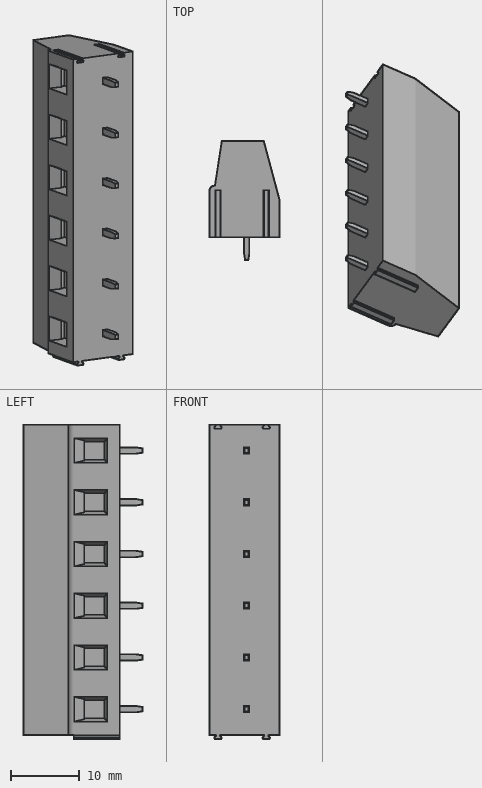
import cadquery as cq

POLES = 6
PITCH = 7.5
OVERLAP = 0.2

HOUSING_WIDTH = 10.2
HOUSING_DEPTH = 14.0
HOUSING_LENGTH = POLES * PITCH
TOP_POLE_Z = HOUSING_LENGTH - PITCH / 2

STEP_DEPTH = 7.5
STEP_RADIUS = 0.8
BACK_LEFT_X = 1.8
BACK_RIGHT_X = 7.9
RIGHT_SLOPE_START = 5.4

ENTRY_FRONT = 1.8
ENTRY_BACK = 6.65
ENTRY_HEIGHT = 3.6
ENTRY_DEPTH = 1.65
ENTRY_SLOPE_DEPTH = 1.15
FLOOR_FRONT = 2.25
FLOOR_BACK = 5.15
FLOOR_HEIGHT = 2.6

PIN_X = 5.42
PIN_WIDTH = 0.8
PIN_HEIGHT = 0.95
PIN_LENGTH = 3.3
PIN_TIP_LENGTH = 0.95
PIN_TIP_WIDTH = 0.5
PIN_TIP_HEIGHT = 0.65

RAIL_XS = (1.25, 8.25)
RAIL_HEIGHT = 0.6
RAIL_ROOT_WIDTH = 0.85
RAIL_NECK_WIDTH = 0.6
RAIL_NECK_AT = 0.1
RAIL_WIDTH = 1.1
RAIL_WIDEST_AT = 0.4
RAIL_END_WIDTH = 0.9
RAIL_LENGTH = 6.7
GROOVE_LENGTH = 6.8


def make_housing():
    """Tapered block with a rounded step along its wire side."""
    return (
        cq.Workplane("XY")
        .moveTo(0, 0)
        .lineTo(0, STEP_DEPTH - STEP_RADIUS)
        .radiusArc((STEP_RADIUS, STEP_DEPTH), STEP_RADIUS)
        .lineTo(BACK_LEFT_X, HOUSING_DEPTH)
        .lineTo(BACK_RIGHT_X, HOUSING_DEPTH)
        .lineTo(HOUSING_WIDTH, RIGHT_SLOPE_START)
        .lineTo(HOUSING_WIDTH, 0)
        .close()
        .extrude(HOUSING_LENGTH)
    )


def make_wire_entry(z):
    """Cutter for one wire entry, sunk from the X = 0 face and centred at height z."""
    plan = (
        cq.Workplane("XY", origin=(0, 0, z))
        .moveTo(0, ENTRY_FRONT)
        .lineTo(0, ENTRY_BACK)
        .lineTo(ENTRY_SLOPE_DEPTH, FLOOR_BACK)
        .lineTo(ENTRY_DEPTH, FLOOR_BACK)
        .lineTo(ENTRY_DEPTH, FLOOR_FRONT)
        .close()
        .extrude(ENTRY_HEIGHT / 2, both=True)
    )
    drafted_heights = (
        cq.Workplane("XZ", origin=(0, 0, z))
        .moveTo(0, -ENTRY_HEIGHT / 2)
        .lineTo(0, ENTRY_HEIGHT / 2)
        .lineTo(ENTRY_DEPTH, FLOOR_HEIGHT / 2)
        .lineTo(ENTRY_DEPTH, -FLOOR_HEIGHT / 2)
        .close()
        .extrude(-ENTRY_BACK)
    )
    return plan.intersect(drafted_heights)


def make_pin(z):
    """Rectangular pin with a tapered tip, standing out of the Y = 0 face."""
    shank_length = PIN_LENGTH - PIN_TIP_LENGTH
    shank = (
        cq.Workplane("XZ", origin=(PIN_X, OVERLAP, z))
        .rect(PIN_WIDTH, PIN_HEIGHT)
        .extrude(OVERLAP + shank_length)
    )
    tip = (
        cq.Workplane("XZ", origin=(PIN_X, -shank_length, z))
        .rect(PIN_WIDTH, PIN_HEIGHT)
        .workplane(offset=PIN_TIP_LENGTH)
        .rect(PIN_TIP_WIDTH, PIN_TIP_HEIGHT)
        .loft(ruled=True)
    )
    return shank.union(tip)


def make_rail(x, face_z, length):
    """Waisted dovetail bar hanging below face_z and running back from the Y = 0 face."""
    right_side = [
        (RAIL_ROOT_WIDTH / 2, OVERLAP),
        (RAIL_ROOT_WIDTH / 2, 0),
        (RAIL_NECK_WIDTH / 2, -RAIL_NECK_AT),
        (RAIL_WIDTH / 2, -RAIL_WIDEST_AT),
        (RAIL_END_WIDTH / 2, -RAIL_HEIGHT),
    ]
    left_side = [(-half_width, depth) for half_width, depth in reversed(right_side)]
    return (
        cq.Workplane("XZ", origin=(x, 0, face_z))
        .polyline(right_side + left_side)
        .close()
        .extrude(-length)
    )


result = make_housing()

for pole in range(POLES):
    pole_z = TOP_POLE_Z - pole * PITCH
    result = result.cut(make_wire_entry(pole_z))
    result = result.union(make_pin(pole_z))

for rail_x in RAIL_XS:
    result = result.union(make_rail(rail_x, 0, RAIL_LENGTH))
    result = result.cut(make_rail(rail_x, HOUSING_LENGTH, GROOVE_LENGTH))